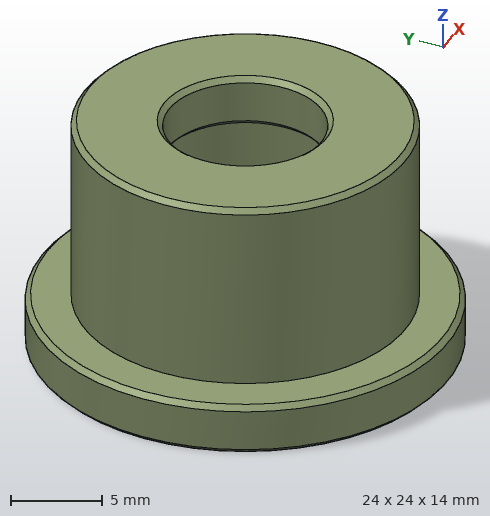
import cadquery as cq

flange_diameter = 24.0
flange_thickness = 3.0
body_diameter = 19.0
total_height = 14.0
bore_diameter = 9.0
counterbore_diameter = 14.0
lip_thickness = 3.0
edge_chamfer = 0.3

counterbore_depth = total_height - lip_thickness


def cylinder(diameter, height):
    """Upright cylinder centred on the Z axis, standing on the base plane."""
    return cq.Workplane("XY").circle(diameter / 2).extrude(height)


def make_flange():
    """Flange disc with both rims chamfered."""
    disc = cylinder(flange_diameter, flange_thickness)
    return disc.faces("|Z").edges().chamfer(edge_chamfer)


def make_body():
    """Full-height body with its top rim chamfered."""
    return cylinder(body_diameter, total_height).faces(">Z").edges().chamfer(edge_chamfer)


def make_bore():
    """Bore through the lip, widened by a chamfer at both mouths."""
    radius = bore_diameter / 2
    mouth_radius = radius + edge_chamfer
    half_profile = [
        (0, counterbore_depth),
        (mouth_radius, counterbore_depth),
        (radius, counterbore_depth + edge_chamfer),
        (radius, total_height - edge_chamfer),
        (mouth_radius, total_height),
        (0, total_height),
    ]
    return cq.Workplane("XZ").polyline(half_profile).close().revolve(360, (0, 0), (0, 1))


def make_counterbore():
    """Wider recess rising from the flange face to the underside of the lip."""
    return cylinder(counterbore_diameter, counterbore_depth)


result = make_flange().union(make_body()).cut(make_counterbore()).cut(make_bore())